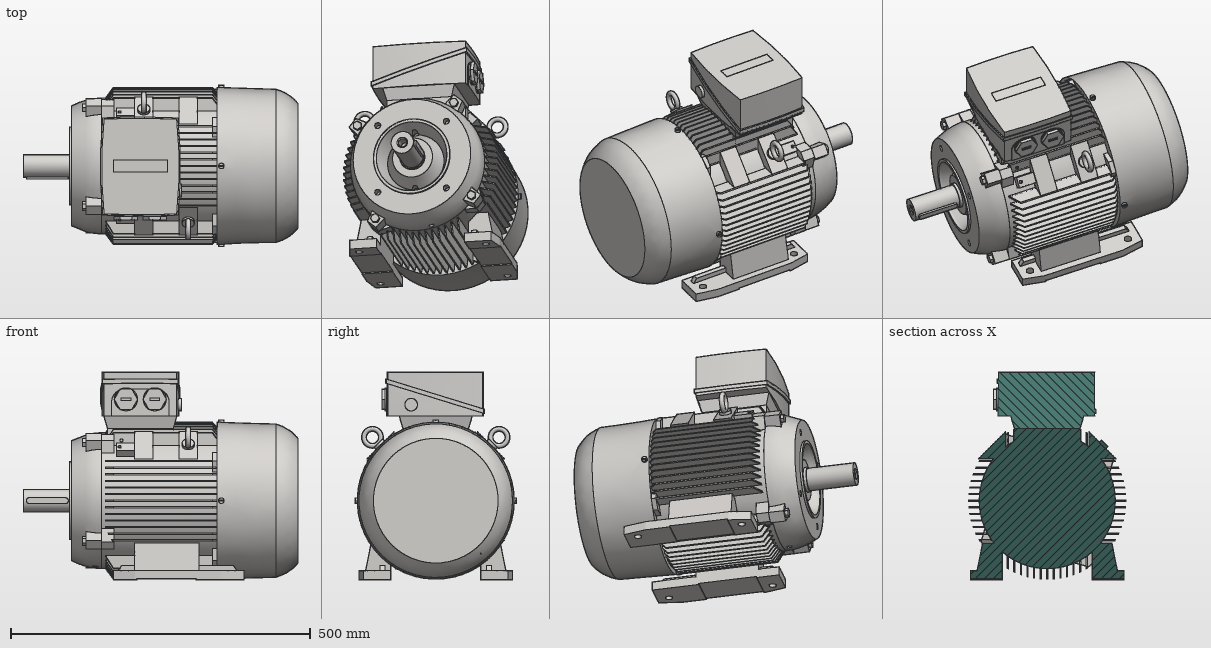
import cadquery as cq
import math


shaft_length = 80.0
shield_end = 50.0
frame_end = 243.0
motor_end = 378.0
shaft_height = 132.0
motor_top = 214.5

SIDES = (-1, 1)
QUARTER_TURNS = (0, 90, 180, 270)
CORNER_ANGLE = 45
HEXAGON_SIDES = 6
HALF_DRILL_ANGLE = math.radians(59)
HALF_HEXAGON_ANGLE = math.pi / HEXAGON_SIDES


def prism_along_x(points, x_start, x_end):
    """Extrude a closed (Y, Z) outline from x_start to x_end."""
    return cq.Workplane("YZ", origin=(x_start, 0, 0)).polyline(points).close().extrude(x_end - x_start)


def turned(shape, angle):
    """Turn a shape about the shaft axis."""
    return shape.rotate((0, 0, 0), (1, 0, 0), angle)


def cylinder_along_x(radius, x_start, x_end, y=0.0, z=0.0):
    return cq.Workplane("YZ", origin=(x_start, y, z)).circle(radius).extrude(x_end - x_start)


def box_between(x_start, x_end, y_start, y_end, z_start, z_end):
    size = (x_end - x_start, y_end - y_start, z_end - z_start)
    return cq.Workplane("XY").box(*size, centered=False).translate((x_start, y_start, z_start))


def drilled_hole(radius, x_start, depth, y=0.0, z=0.0):
    """A blind hole running in +X, with a conical drill tip."""
    tip_depth = radius / math.tan(HALF_DRILL_ANGLE)
    profile = [(0, 0), (0, radius), (depth, radius), (depth + tip_depth, 0)]
    hole = cq.Workplane("XY").polyline(profile).close().revolve(360, (0, 0, 0), (1, 0, 0))
    return hole.translate((x_start, y, z))


shaft_radius = 19.0
shoulder_radius = 21.0
key_width = 10.0
key_length = 70.0
key_tip_gap = 5.0
key_top = 22.0
centre_hole_radius = 7.0
centre_hole_depth = 25.0
centre_sink_radius = 9.0
centre_sink_depth = 2.0


def make_shaft():
    shaft = cylinder_along_x(shaft_radius, -shaft_length, 0)
    shaft = shaft.union(cylinder_along_x(shoulder_radius, 0, shield_end))
    key_middle = -shaft_length + key_tip_gap + key_length / 2
    key = cq.Workplane("XZ").center(key_middle, 0).slot2D(key_length, key_width).extrude(key_top)
    sink = (
        cq.Workplane("YZ", origin=(-shaft_length, 0, 0))
        .circle(centre_sink_radius)
        .workplane(offset=centre_sink_depth)
        .circle(centre_hole_radius)
        .loft()
    )
    hole = drilled_hole(centre_hole_radius, -shaft_length, centre_hole_depth)
    return shaft.union(key).cut(sink).cut(hole)


flange_radius = 100.0
shield_back_radius = 113.5
shield_mid_x = 22.0
shield_mid_radius = 109.0
spigot_radius = 65.0
spigot_height = 3.5
recess_radius = 60.0
recess_valley_radius = 48.0
recess_valley_x = 32.0
lip_length = 4.5
lip_drop = 0.8
hub_face_radius = 34.0
hub_face_x = 5.0
flange_hole_radius = 5.0
flange_hole_depth = 15.0
flange_bolt_circle = 82.5
valley_hole_radius = 5.0
valley_hole_depth = 8.0
drain_radius = 4.0
drain_x = 40.0
drain_depth = 4.0
drain_angle = 13.0
bolt_y = -67.0
bolt_z = 97.0
pad_start = 24.0
pad_outline = [(-45, 88), (-51.5, 97), (-66.5, 112), (-80.8, 100), (-68.2, 72)]
bolt_head_height = 5.5
bolt_across_corners = 15.0


def bolt_head():
    return (
        cq.Workplane("YZ", origin=(pad_start - bolt_head_height, bolt_y, bolt_z))
        .polygon(HEXAGON_SIDES, bolt_across_corners)
        .extrude(bolt_head_height)
    )


def make_shield():
    shield = (
        cq.Workplane("XY")
        .moveTo(hub_face_x, shoulder_radius)
        .lineTo(hub_face_x, hub_face_radius)
        .lineTo(recess_valley_x, recess_valley_radius)
        .lineTo(-spigot_height + lip_length, recess_radius - lip_drop)
        .lineTo(-spigot_height, recess_radius)
        .lineTo(-spigot_height, spigot_radius)
        .lineTo(0, spigot_radius)
        .lineTo(0, flange_radius)
        .threePointArc((shield_mid_x, shield_mid_radius), (shield_end, shield_back_radius))
        .lineTo(shield_end, shoulder_radius)
        .close()
        .revolve(360, (0, 0, 0), (1, 0, 0))
    )
    pad = prism_along_x(pad_outline, pad_start, shield_end)
    for angle in QUARTER_TURNS:
        shield = shield.union(turned(pad, angle))
        shield = shield.union(turned(bolt_head(), angle))
        flange_hole = drilled_hole(flange_hole_radius, 0, flange_hole_depth, z=flange_bolt_circle)
        shield = shield.cut(turned(flange_hole, angle + CORNER_ANGLE))
    for side in SIDES:
        hole_length = recess_valley_x - hub_face_x + valley_hole_depth
        valley_hole = drilled_hole(
            valley_hole_radius, hub_face_x, hole_length, z=side * recess_valley_radius
        )
        shield = shield.cut(valley_hole)
    drain = (
        cq.Workplane("XY", origin=(drain_x, 0, -shield_back_radius))
        .circle(drain_radius)
        .extrude(drain_depth)
    )
    return shield.cut(turned(drain, -drain_angle))


core_radius = shield_back_radius
fin_tip_radius = 131.0
fin_thickness = 2.0
fin_pitch = 11.0
fins_per_half = 6
fin_front_x = 57.0
fin_full_front_x = 70.0
fin_full_rear_x = 235.0
fin_rear_radius = 122.0


def make_fins():
    """Upright and level fins on one pitch, trimmed to a drum with bevelled ends."""
    slabs = cq.Workplane("XY")
    reach = 2 * fin_tip_radius
    length = frame_end - shield_end
    middle_x = (frame_end + shield_end) / 2
    upright_fin = cq.Workplane("XY").box(length, fin_thickness, reach)
    level_fin = cq.Workplane("XY").box(length, reach, fin_thickness)
    for index in range(-fins_per_half, fins_per_half + 1):
        offset = index * fin_pitch
        slabs = slabs.add(upright_fin.translate((middle_x, offset, 0)))
        slabs = slabs.add(level_fin.translate((middle_x, 0, offset)))
    envelope = (
        cq.Workplane("XY")
        .moveTo(fin_front_x, 0)
        .lineTo(fin_front_x, core_radius)
        .lineTo(fin_full_front_x, fin_tip_radius)
        .lineTo(fin_full_rear_x, fin_tip_radius)
        .lineTo(frame_end, fin_rear_radius)
        .lineTo(frame_end, 0)
        .close()
        .revolve(360, (0, 0, 0), (1, 0, 0))
    )
    return slabs.combine().intersect(envelope)


lug_end = 71.0
lug_outline = [(-46, 90), (-46, 104), (-69, 110.5), (-81, 100), (-81, 75)]
rear_lug_start = 235.0
rear_lug_outline = [(-75, 80.5), (-100, 80.5), (-114.3, 66), (-109.5, 47.8), (-75, 47.8)]


def add_lugs(frame):
    rear_lug = prism_along_x(rear_lug_outline, rear_lug_start, frame_end)
    front_lug = prism_along_x(lug_outline, shield_end, lug_end)
    for angle in QUARTER_TURNS:
        frame = frame.union(turned(front_lug, angle)).union(turned(rear_lug, angle))
    return frame


pad_starts = (105.5, 179.5)
lifting_pad_length = 30.5
lifting_pad_corner = 69.5
lifting_pad_sum = 184.5
lifting_pad_distance = lifting_pad_sum / math.sqrt(2)
earth_start = 75.0
earth_width = 18.0
earth_distance = 127.3
earth_depth = 20.0
earth_hole_radius = 2.5
earth_hole_x = 80.5
earth_hole_depth = 6.0
fin_mark_radius = 2.5
fin_mark_depth = 1.0
fin_mark_x = 83.5
fin_mark_z = 100.5


def add_corner_blocks(frame):
    """Lifting pads and earth terminal blocks in both upper corners."""
    corner = lifting_pad_corner
    far = lifting_pad_sum - corner
    earth_end = pad_starts[0]
    for side in SIDES:
        outline = [(side * corner, corner), (side * far, corner), (side * corner, far)]
        for start in pad_starts:
            frame = frame.union(prism_along_x(outline, start, start + lifting_pad_length))
        earth = box_between(
            earth_start, earth_end, -earth_width / 2, earth_width / 2,
            earth_distance - earth_depth, earth_distance,
        )
        earth_hole = (
            cq.Workplane("XY", origin=(earth_hole_x, 0, earth_distance - earth_hole_depth))
            .circle(earth_hole_radius)
            .extrude(earth_hole_depth)
        )
        frame = frame.union(turned(earth, -CORNER_ANGLE * side)).cut(turned(earth_hole, -CORNER_ANGLE * side))
    outer_fin_face = fins_per_half * fin_pitch + fin_thickness / 2
    mark = (
        cq.Workplane("XZ", origin=(fin_mark_x, -outer_fin_face, fin_mark_z))
        .circle(fin_mark_radius)
        .extrude(-fin_mark_depth)
    )
    return frame.cut(mark)


foot_start = 70.0
foot_end = 288.0
foot_inner_y = 75.0
foot_outer_y = 128.0
foot_end_outer_y = 120.5
foot_front_corner_x = 106.5
foot_rear_corner_x = 249.0
foot_top = -116.5
foot_hole_radius = 6.0
foot_hole_xs = (89.0, 267.0)
foot_hole_y = 108.0
relief_start = 109.0
relief_end = 208.0
relief_depth = 2.0
leg_start = 105.5
leg_end = 213.0
leg_top = -71.0
leg_top_outer_y = 108.0
leg_bottom_outer_y = 117.0
rib_start = 78.0
rib_end = 276.0
rib_inner_y = 84.5
rib_width = 8.5
rib_height = 8.5
rib_end_run = 6.0


def make_foot():
    """The foot on the +Y side."""
    plate_outline = [
        (foot_start, foot_inner_y),
        (foot_end, foot_inner_y),
        (foot_end, foot_end_outer_y),
        (foot_rear_corner_x, foot_outer_y),
        (foot_front_corner_x, foot_outer_y),
        (foot_start, foot_end_outer_y),
    ]
    plate_thickness = foot_top + shaft_height
    foot = (
        cq.Workplane("XY", origin=(0, 0, -shaft_height))
        .polyline(plate_outline)
        .close()
        .extrude(plate_thickness)
    )
    relief = box_between(
        relief_start, relief_end, foot_inner_y, foot_outer_y, -shaft_height, -shaft_height + relief_depth
    )
    holes = (
        cq.Workplane("XY", origin=(0, 0, -shaft_height))
        .pushPoints([(x, foot_hole_y) for x in foot_hole_xs])
        .circle(foot_hole_radius)
        .extrude(plate_thickness)
    )
    leg_outline = [
        (foot_inner_y, foot_top),
        (leg_bottom_outer_y, foot_top),
        (leg_top_outer_y, leg_top),
        (foot_inner_y, leg_top),
    ]
    rib_outline = [
        (rib_start, foot_top),
        (rib_end, foot_top),
        (rib_end - rib_end_run, foot_top + rib_height),
        (rib_start + rib_end_run, foot_top + rib_height),
    ]
    rib = (
        cq.Workplane("XZ", origin=(0, rib_inner_y, 0))
        .polyline(rib_outline)
        .close()
        .extrude(-rib_width)
    )
    foot = foot.cut(relief).cut(holes)
    return foot.union(prism_along_x(leg_outline, leg_start, leg_end)).union(rib)


neck_bottom = 120.5
neck_bottom_size = (110.0, 110.0)
box_middle_x = 115.0


def make_frame(neck):
    frame = cylinder_along_x(core_radius, shield_end, frame_end).union(make_fins())
    frame = add_lugs(frame)
    frame = add_corner_blocks(frame)
    foot = make_foot()
    frame = frame.union(foot).union(foot.mirror("XZ"))
    seat = (
        cq.Workplane("XY", origin=(box_middle_x, 0, 0))
        .rect(*neck_bottom_size)
        .extrude(neck_bottom)
    )
    clearance = (
        cq.Workplane("XY", origin=(box_middle_x, 0, neck_bottom))
        .rect(*neck_bottom_size)
        .extrude(fin_tip_radius - neck_bottom)
    )
    return frame.union(seat).cut(clearance).cut(neck)


box_middle_y = -1.0
box_bottom = 141.0
box_corner_half_x = 60.5
box_bulged_half_x = 64.6
box_corner_half_y = 78.8
box_bulged_half_y = 80.5
neck_top_size = (122.0, 122.0)
rim_overhang = 2.2
rim_thickness = 7.2
rim_middle_z = 170.2
rim_slope = math.degrees(math.atan(0.308))
plug_panel_width = 96.0
plug_panel_top = 186.0
plug_panel_corner = 22.0
plug_panel_y = -82.2
plug_offset = 24.0
plug_z = 169.0
plug_flange_radius = 19.2
plug_flange_y = -84.5
plug_face_y = -90.0
plug_across_flats = 34.0
plug_slot_length = 16.0
plug_slot_width = 3.5
plug_slot_depth = 2.0
side_plug_radius = 10.5
side_plug_y = -41.0
side_plug_z = 160.0
side_plug_face_x = 184.0
nameplate_size = (90.0, 19.5)
nameplate_depth = 0.5


def bulged_prism(overhang, bottom, top):
    """A rectangular prism with four slightly bulged sides, grown outwards by overhang."""
    corner_x = box_corner_half_x + overhang
    corner_y = box_corner_half_y + overhang
    bulge_x = box_bulged_half_x + overhang
    bulge_y = box_bulged_half_y + overhang
    return (
        cq.Workplane("XY", origin=(box_middle_x, box_middle_y, bottom))
        .moveTo(corner_x, -corner_y)
        .threePointArc((bulge_x, 0), (corner_x, corner_y))
        .threePointArc((0, bulge_y), (-corner_x, corner_y))
        .threePointArc((-bulge_x, 0), (-corner_x, -corner_y))
        .threePointArc((0, -bulge_y), (corner_x, -corner_y))
        .close()
        .extrude(top - bottom)
    )


def make_neck():
    return (
        cq.Workplane("XY", origin=(box_middle_x, 0, neck_bottom))
        .rect(*neck_bottom_size)
        .workplane(offset=box_bottom - neck_bottom)
        .rect(*neck_top_size)
        .loft()
    )


def make_rim():
    """The sloping joint rim between the base and the lid."""
    slab_size = 4 * box_bulged_half_y
    slab_thickness = rim_thickness * math.cos(math.radians(rim_slope))
    slab = (
        cq.Workplane("XY")
        .box(slab_size, slab_size, slab_thickness)
        .rotate((0, 0, 0), (1, 0, 0), -rim_slope)
        .translate((box_middle_x, 0, rim_middle_z + rim_thickness / 2))
    )
    return bulged_prism(rim_overhang, box_bottom, motor_top).intersect(slab)


def make_plug(x):
    """A hexagonal blanking plug on a round flange, with a screwdriver slot."""
    flange = (
        cq.Workplane("XZ", origin=(x, plug_flange_y, plug_z))
        .circle(plug_flange_radius)
        .extrude(plug_flange_y - plug_panel_y)
    )
    hexagon = (
        cq.Workplane("XZ", origin=(x, plug_flange_y, plug_z))
        .polygon(HEXAGON_SIDES, plug_across_flats / math.cos(HALF_HEXAGON_ANGLE))
        .extrude(plug_flange_y - plug_face_y)
    )
    slot = (
        cq.Workplane("XZ", origin=(x, plug_face_y, plug_z))
        .rect(plug_slot_length, plug_slot_width)
        .extrude(-plug_slot_depth)
    )
    return flange.union(hexagon).cut(slot)


def make_terminal_box(neck):
    terminal_box = bulged_prism(0, box_bottom, motor_top).union(neck).union(make_rim())
    panel_height = plug_panel_top - box_bottom
    panel = (
        cq.Workplane("XZ", origin=(box_middle_x, plug_panel_y, box_bottom + panel_height / 2))
        .rect(plug_panel_width, panel_height)
        .extrude(plug_panel_y + box_corner_half_y - box_middle_y)
        .edges("|Y and >Z")
        .fillet(plug_panel_corner)
    )
    terminal_box = terminal_box.union(panel)
    for side in SIDES:
        terminal_box = terminal_box.union(make_plug(box_middle_x + side * plug_offset))
    side_plug = cylinder_along_x(side_plug_radius, box_middle_x, side_plug_face_x, side_plug_y, side_plug_z)
    nameplate = (
        cq.Workplane("XY", origin=(box_middle_x, 0, motor_top - nameplate_depth))
        .rect(*nameplate_size)
        .extrude(nameplate_depth)
    )
    return terminal_box.union(side_plug).cut(nameplate)


cowl_front_radius = 131.0
cowl_shoulder_x = 341.0
cowl_shoulder_radius = 128.0
cowl_bend_x = 362.0
cowl_bend_radius = 118.5
cowl_end_radius = 104.0
cowl_screw_x = 250.0
cowl_screw_radius = 4.6
cowl_screw_top = 134.5
screw_slot_width = 1.5
screw_slot_depth = 1.0
COWL_SCREW_ANGLES = (-90, 0, 90)


def make_cowl():
    cowl = (
        cq.Workplane("XY")
        .moveTo(frame_end, 0)
        .lineTo(frame_end, cowl_front_radius)
        .lineTo(cowl_shoulder_x, cowl_shoulder_radius)
        .threePointArc((cowl_bend_x, cowl_bend_radius), (motor_end, cowl_end_radius))
        .lineTo(motor_end, 0)
        .close()
        .revolve(360, (0, 0, 0), (1, 0, 0))
    )
    screw = (
        cq.Workplane("XY", origin=(cowl_screw_x, 0, cowl_shoulder_radius))
        .circle(cowl_screw_radius)
        .extrude(cowl_screw_top - cowl_shoulder_radius)
    )
    slot = (
        cq.Workplane("XY", origin=(cowl_screw_x, 0, cowl_screw_top - screw_slot_depth))
        .rect(2 * cowl_screw_radius, screw_slot_width)
        .extrude(screw_slot_depth)
    )
    for angle in COWL_SCREW_ANGLES:
        cowl = cowl.union(turned(screw.cut(slot), angle))
    return cowl


eye_ring_radius = 14.1
eye_wire_radius = 4.1
eye_centre_distance = 149.2
eye_collar_radius = 10.2
eye_collar_height = 5.0


def make_eye_bolt(pad_start_x, side):
    collar = (
        cq.Workplane("XY", origin=(0, 0, lifting_pad_distance))
        .circle(eye_collar_radius)
        .extrude(eye_collar_height)
    )
    ring = cq.Workplane("XY").add(
        cq.Solid.makeTorus(
            eye_ring_radius, eye_wire_radius, cq.Vector(0, 0, eye_centre_distance), cq.Vector(1, 0, 0)
        )
    )
    eye_bolt = collar.union(ring).translate((pad_start_x + lifting_pad_length / 2, 0, 0))
    return turned(eye_bolt, -CORNER_ANGLE * side)


neck = make_neck()
shaft = make_shaft()
shield = make_shield()
frame = make_frame(neck)
terminal_box = make_terminal_box(neck)
cowl = make_cowl()
eye_bolts = [make_eye_bolt(pad_starts[0], 1), make_eye_bolt(pad_starts[1], -1)]

bodies = [shaft, shield, frame, terminal_box, cowl, *eye_bolts]
result = cq.Compound.makeCompound([body.solids().val() for body in bodies])